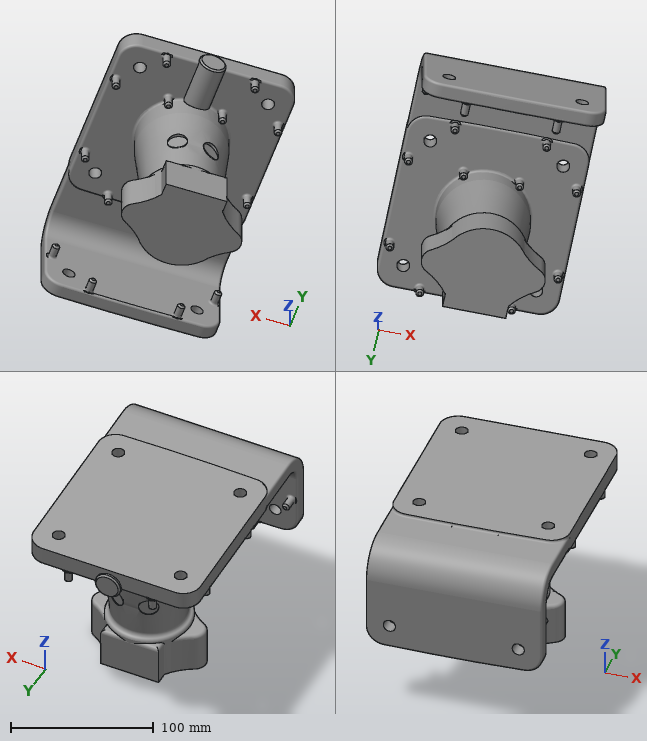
import cadquery as cq
import math

WIDTH = 130.0
CENTER_Y = 114.3
CORNER_RADIUS = 13.5
EDGE_ROUND = 1.8
EDGE_BOW = 0.7
HOLE_DIAMETER = 9.0
HOLE_OFFSET = 47.5

PLATE_THICKNESS = 15.0

STEP = 2.2
STEP_ROUND = 1.6
ARM_THICKNESS = 11.0
BEND_OUTER_RADIUS = 24.8
LIP_BOTTOM = -79.4
LIP_HOLE_Z = -61.9

PIN_DIAMETER = 5.5
PIN_LENGTH = 10.2
PIN_TIP_CHAMFER = 1.36
PIN_BASE_ROUND = 1.5
PIN_NEAR = 32.8
PIN_FAR_X = 60.0
PIN_FAR_Y = 62.0
COLUMN_PIN_X = 20.0
COLUMN_PIN_Y = 29.5

COLUMN_TOP_RADIUS = 33.1
COLUMN_BASE_RADIUS = 28.0
TAPER_TOP = -31.5
TAPER_BOTTOM = -87.7
RECESS_DIAMETER = 14.2
RECESS_DEPTH = 1.5
RECESS_Z = -61.3
RECESS_TURN = 25.0

KNOB_RADIUS = 31.7
KNOB_SHOULDER = -93.2
SHOULDER_MIDDLE_Z = -91.2
SHOULDER_MIDDLE_RADIUS = 30.0
KNOB_BOTTOM = -125.0
LOBE_TOP = -94.1
LOBE_REACH = 44.0
LOBE_TIP_RADIUS = 9.1
LOBE_NOSE_Y = 8.0
LOBE_ROOT_Y = 18.2
LOBE_ROUND = 2.7
PAD_HALF_WIDTH = 22.5
PAD_CORNER_ROUND = 1.1

STUB_RADIUS = 9.8
STUB_Z = -13.3
STUB_END_Y = 182.0
STUB_END_CHAMFER = 1.3

HALF = WIDTH / 2
ARM_BOTTOM = -STEP - ARM_THICKNESS
OVERLAP = 1.8
EDGE_SEARCH = 0.1


def bowed_outline(plane, top, bottom):
    """Rectangle with two rounded lower corners and a slightly bowed lower edge."""
    flat = HALF - CORNER_RADIUS
    bend = CORNER_RADIUS * (1 - math.sqrt(0.5))
    return (
        cq.Workplane(plane)
        .moveTo(-HALF, top)
        .lineTo(-HALF, bottom + CORNER_RADIUS)
        .threePointArc((-HALF + bend, bottom + bend), (-flat, bottom))
        .threePointArc((0, bottom - EDGE_BOW), (flat, bottom))
        .threePointArc((HALF - bend, bottom + bend), (HALF, bottom + CORNER_RADIUS))
        .lineTo(HALF, top)
        .close()
    )


def make_plate():
    front = CENTER_Y - HALF
    rear = CENTER_Y + HALF
    plate = bowed_outline("XY", rear, front).extrude(-PLATE_THICKNESS)
    plate = plate.edges("|Z and >Y").fillet(CORNER_RADIUS)
    return plate.faces("<Z").edges().fillet(EDGE_ROUND)


def make_arm():
    """Strip leaving the plate, bent down into the lip."""
    bend_inner = BEND_OUTER_RADIUS - ARM_THICKNESS
    center_z = -STEP - BEND_OUTER_RADIUS
    diagonal = math.sqrt(0.5)
    lip_end = LIP_BOTTOM - EDGE_BOW - OVERLAP

    def on_bend(radius):
        return (BEND_OUTER_RADIUS - radius * diagonal, center_z + radius * diagonal)

    strip = (
        cq.Workplane("YZ")
        .moveTo(CENTER_Y, -STEP)
        .lineTo(BEND_OUTER_RADIUS, -STEP)
        .threePointArc(on_bend(BEND_OUTER_RADIUS), (0, center_z))
        .lineTo(0, lip_end)
        .lineTo(ARM_THICKNESS, lip_end)
        .lineTo(ARM_THICKNESS, center_z)
        .threePointArc(on_bend(bend_inner), (BEND_OUTER_RADIUS, ARM_BOTTOM))
        .lineTo(CENTER_Y, ARM_BOTTOM)
        .close()
        .extrude(HALF, both=True)
    )
    outline = bowed_outline("XZ", 0, LIP_BOTTOM).extrude(-CENTER_Y)
    arm = strip.intersect(outline)
    rims = arm.faces("<Y").edges("<X or >X").add(arm.faces("<Z").edges("<Y or >Y"))
    return rims.fillet(EDGE_ROUND)


def make_bracket():
    """Plate and arm in one, with the top step between them softened."""
    bracket = make_plate().union(make_arm())
    front = CENTER_Y - HALF
    step_zone = cq.selectors.BoxSelector(
        (-HALF, front - OVERLAP, -STEP - EDGE_SEARCH),
        (HALF, front + OVERLAP, -STEP + EDGE_SEARCH),
    )
    return bracket.edges(step_zone).fillet(STEP_ROUND)


def make_pin():
    """Pin hanging down from Z = 0, with a flared root and a chamfered tip."""
    radius = PIN_DIAMETER / 2
    tip_radius = radius - PIN_TIP_CHAMFER
    flare = PIN_BASE_ROUND * (1 - math.sqrt(0.5))
    return (
        cq.Workplane("XZ")
        .moveTo(0, OVERLAP)
        .lineTo(radius, OVERLAP)
        .lineTo(radius, 0)
        .lineTo(radius + PIN_BASE_ROUND, 0)
        .threePointArc((radius + flare, -flare), (radius, -PIN_BASE_ROUND))
        .lineTo(radius, PIN_TIP_CHAMFER - PIN_LENGTH)
        .lineTo(tip_radius, -PIN_LENGTH)
        .lineTo(0, -PIN_LENGTH)
        .close()
        .revolve(360, (0, 0), (0, 1))
    )


def make_pins():
    """Pins beside each screw hole of the plate and the lip, and against the column."""
    pin = make_pin()
    lip_pin = pin.rotate((0, 0, 0), (1, 0, 0), 90)
    drop = PIN_FAR_Y - HOLE_OFFSET
    rise = HOLE_OFFSET - PIN_NEAR
    plate_spots = ((PIN_NEAR, PIN_FAR_Y), (PIN_FAR_X, PIN_NEAR), (COLUMN_PIN_X, COLUMN_PIN_Y))
    lip_spots = ((PIN_NEAR, LIP_HOLE_Z - drop), (PIN_FAR_X, LIP_HOLE_Z + rise))
    pins = cq.Workplane("XY")
    for side_x in (-1, 1):
        for side_y in (-1, 1):
            for x, y in plate_spots:
                spot = (side_x * x, CENTER_Y + side_y * y, -PLATE_THICKNESS)
                pins = pins.add(pin.translate(spot))
        for x, z in lip_spots:
            pins = pins.add(lip_pin.translate((side_x * x, ARM_THICKNESS, z)))
    depth = CENTER_Y + HALF
    height = -LIP_HOLE_Z + HALF - HOLE_OFFSET
    limits = cq.Workplane("XY").box(WIDTH, depth, height, centered=(True, False, False))
    limits = limits.translate((0, 0, -height))
    return [limits.intersect(cq.Workplane(one)) for one in pins.vals()]


def make_column():
    """Tapered column with its rounded shoulder and the round body of the knob."""
    flare = EDGE_ROUND * (1 - math.sqrt(0.5))
    plate_bottom = -PLATE_THICKNESS
    column = (
        cq.Workplane("XZ")
        .moveTo(0, plate_bottom + OVERLAP)
        .lineTo(COLUMN_TOP_RADIUS, plate_bottom + OVERLAP)
        .lineTo(COLUMN_TOP_RADIUS, plate_bottom)
        .lineTo(COLUMN_TOP_RADIUS + EDGE_ROUND, plate_bottom)
        .threePointArc(
            (COLUMN_TOP_RADIUS + flare, plate_bottom - flare),
            (COLUMN_TOP_RADIUS, plate_bottom - EDGE_ROUND),
        )
        .lineTo(COLUMN_TOP_RADIUS, TAPER_TOP)
        .lineTo(COLUMN_BASE_RADIUS, TAPER_BOTTOM)
        .tangentArcPoint((SHOULDER_MIDDLE_RADIUS, SHOULDER_MIDDLE_Z), relative=False)
        .tangentArcPoint((KNOB_RADIUS, KNOB_SHOULDER), relative=False)
        .lineTo(KNOB_RADIUS, KNOB_BOTTOM)
        .lineTo(0, KNOB_BOTTOM)
        .close()
        .revolve(360, (0, 0), (0, 1))
    )
    share = (TAPER_TOP - RECESS_Z) / (TAPER_TOP - TAPER_BOTTOM)
    wall_radius = COLUMN_TOP_RADIUS + share * (COLUMN_BASE_RADIUS - COLUMN_TOP_RADIUS)
    floor_y = wall_radius - RECESS_DEPTH
    cutter = (
        cq.Workplane("XZ", origin=(0, floor_y, RECESS_Z))
        .circle(RECESS_DIAMETER / 2)
        .extrude(-COLUMN_TOP_RADIUS)
    )
    for turn in (-RECESS_TURN, RECESS_TURN):
        column = column.cut(cutter.rotate((0, 0, 0), (0, 0, 1), turn))
    return column


def make_lobe():
    """Round-nosed grip on +X whose concave flanks run into the knob body."""
    nose_x = LOBE_REACH - LOBE_TIP_RADIUS
    nose_turn = math.asin(LOBE_NOSE_Y / LOBE_TIP_RADIUS)
    root_x = math.sqrt(KNOB_RADIUS**2 - LOBE_ROOT_Y**2)

    def on_nose(turn):
        return (nose_x + LOBE_TIP_RADIUS * math.cos(turn), LOBE_TIP_RADIUS * math.sin(turn))

    lobe = (
        cq.Workplane("XY", origin=(0, 0, KNOB_BOTTOM))
        .moveTo(LOBE_REACH, 0)
        .threePointArc(on_nose(nose_turn / 2), on_nose(nose_turn))
        .tangentArcPoint((root_x, LOBE_ROOT_Y), relative=False)
        .lineTo(0, LOBE_ROOT_Y)
        .mirrorX()
        .extrude(LOBE_TOP - KNOB_BOTTOM)
    )
    rim = lobe.faces(">Z").edges("not <X").edges("not |X")
    return rim.fillet(LOBE_ROUND).clean()


def make_pad():
    """Block filling out the rear of the knob, its sides blended into the round body."""
    blend_x = PAD_HALF_WIDTH + PAD_CORNER_ROUND
    blend_y = math.sqrt((KNOB_RADIUS + PAD_CORNER_ROUND)**2 - blend_x**2)
    share = KNOB_RADIUS / (KNOB_RADIUS + PAD_CORNER_ROUND)
    pad = (
        cq.Workplane("XY", origin=(0, 0, KNOB_BOTTOM))
        .moveTo(0, KNOB_RADIUS)
        .lineTo(PAD_HALF_WIDTH, KNOB_RADIUS)
        .lineTo(PAD_HALF_WIDTH, blend_y)
        .tangentArcPoint((share * blend_x, share * blend_y), relative=False)
        .lineTo(0, 0)
        .mirrorY()
        .extrude(LOBE_TOP - KNOB_BOTTOM)
    )
    rim = pad.faces(">Z").edges("|X or |Y")
    return rim.fillet(LOBE_ROUND)


def make_stub():
    length = STUB_END_Y - CENTER_Y
    stub = cq.Workplane("XZ", origin=(0, CENTER_Y, STUB_Z)).circle(STUB_RADIUS).extrude(-length)
    return stub.faces(">Y").edges().chamfer(STUB_END_CHAMFER)


def make_holes():
    """Screw-hole cutters: four through the plate, two through the lip."""
    radius = HOLE_DIAMETER / 2
    plate_spots = [(sx * HOLE_OFFSET, sy * HOLE_OFFSET) for sx in (-1, 1) for sy in (-1, 1)]
    lip_spots = [(-HOLE_OFFSET, 0), (HOLE_OFFSET, 0)]
    plate_holes = cq.Workplane("XY", origin=(0, CENTER_Y, 0)).pushPoints(plate_spots)
    lip_holes = cq.Workplane("XZ", origin=(0, 0, LIP_HOLE_Z)).pushPoints(lip_spots)
    return (
        plate_holes.circle(radius).extrude(-PLATE_THICKNESS)
        .add(lip_holes.circle(radius).extrude(-ARM_THICKNESS))
    )


bracket = make_bracket()
lobe = make_lobe()
post = make_column().union(lobe).union(lobe.mirror("YZ")).union(make_pad())
result = bracket.union(post.translate((0, CENTER_Y, 0))).union(make_stub())
for pin in make_pins():
    result = result.union(pin)
for hole in make_holes().vals():
    result = result.cut(cq.Workplane(hole))